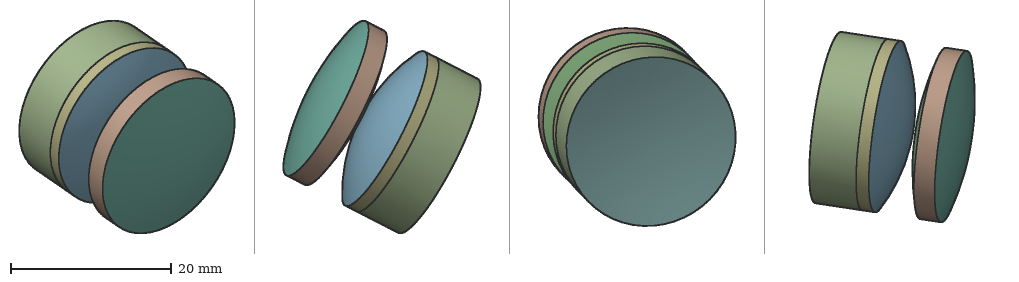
import cadquery as cq
import math

lens_radius = 10.835
front_edge_thickness = 6.02
middle_edge_thickness = 1.62
rear_edge_thickness = 2.66
middle_dome_height = 2.95
rear_dome_height = 1.83
front_hollow_depth = 1.25
air_gap = 1.0

overall_length = (front_edge_thickness + middle_edge_thickness + middle_dome_height
                  + air_gap + rear_edge_thickness + 2 * rear_dome_height)
rim_x = -overall_length / 2
joint_x = rim_x + front_edge_thickness
middle_edge_x = joint_x + middle_edge_thickness
rear_edge_x = middle_edge_x + middle_dome_height + air_gap + rear_dome_height


def sphere_radius(sag):
    """Radius of the sphere whose cap over the full lens has the given height."""
    return (lens_radius ** 2 + sag ** 2) / (2 * abs(sag))


def mid_arc_point(edge_x, sag):
    """Point on a spherical face at half the lens radius; a positive sag puts its centre toward +X."""
    radius = sphere_radius(sag)
    half = lens_radius / 2
    drop = radius - math.sqrt(radius ** 2 - half ** 2)
    return (edge_x + sag - math.copysign(drop, sag), half)


def turn_lens(left_edge_x, left_sag, right_edge_x, right_sag):
    """One solid lens; a sag of zero gives a flat face."""
    profile = cq.Workplane("XY").moveTo(left_edge_x + left_sag, 0)
    if left_sag == 0:
        profile = profile.lineTo(left_edge_x, lens_radius)
    else:
        profile = profile.threePointArc(mid_arc_point(left_edge_x, left_sag), (left_edge_x, lens_radius))
    profile = profile.lineTo(right_edge_x, lens_radius)
    if right_sag == 0:
        profile = profile.lineTo(right_edge_x, 0)
    else:
        profile = profile.threePointArc(mid_arc_point(right_edge_x, right_sag), (right_edge_x + right_sag, 0))
    return profile.close().revolve(360, (0, 0, 0), (1, 0, 0))


front_lens = turn_lens(rim_x, front_hollow_depth, joint_x, 0)

middle_lens = turn_lens(joint_x, 0, middle_edge_x, middle_dome_height)

rear_lens = turn_lens(rear_edge_x, -rear_dome_height, rear_edge_x + rear_edge_thickness, rear_dome_height)

result = cq.Compound.makeCompound([front_lens.val(), middle_lens.val(), rear_lens.val()])